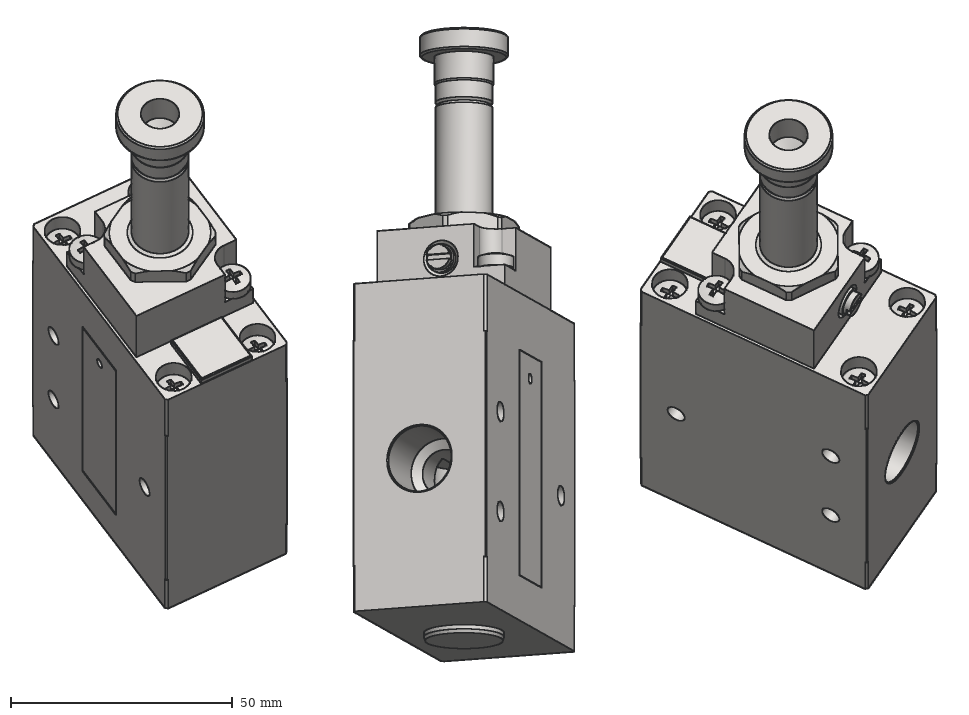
import cadquery as cq
import math

total_height = 139.1

housing_x = 59.0
housing_y = 32.0
housing_bottom = 2.1
housing_top = 77.5
panel_bottom = 12.5
panel_top = 64.4
panel_width = 14.7
panel_depth = 0.1
corner_chamfer = 0.5
middle_chamfer = 0.3
vent_diameter = 2.2
vent_depth = 2.8
vent_z = 59.1

mounting_diameter = 4.5
mounting_x = 20.0
mounting_mid_z = 36.2
mounting_pitch_z = 23.0

port_z = mounting_mid_z
port_diameter = 15.0
port_mouth_chamfer = 0.3
port_depth = 15.3
port_passage_diameter = 10.6
bore_diameter = 14.5
bore_top = 40.8

head_diameter = 8.0
head_height = 2.5
dome_height = 0.8
cross_length = 4.3
cross_width = 1.0
cross_depth = 0.8
housing_screw_x = 24.5
housing_screw_y = 11.0
housing_screw_depth = 4.2

pad_size = 13.4
pad_height = 1.5
pad_chamfer = 0.3
pad_outer_x = 29.4

block_size = 30.6
block_top = 92.4
pocket_floor = 82.5
pocket_radius = 4.0
block_screw_offset = 12.0

adjuster_z = 85.0
seat_diameter = 8.2
adjuster_collar_diameter = 6.5
adjuster_collar_height = 0.4
adjuster_head_diameter = 5.5
adjuster_head_height = 1.7
seat_depth = 0.8
slot_width = 1.3
slot_depth = 0.8

hex_flats = 22.3
hex_corner_diameter = 25.0
hex_top = 96.3
hex_top_diameter = 22.8
hex_chamfer_height = 0.8
tube_diameter = 13.0
tube_foot_diameter = 14.7
tube_foot_height = 0.4
groove_bottom = 122.5
groove_top = 123.8
groove_depth = 0.4
neck_bottom = 127.7
neck_chamfer = 0.4
neck_diameter = 13.4
knob_diameter = 19.9
knob_bottom = 134.2
knob_chamfer = 0.4
knob_hole_diameter = 8.6
knob_hole_depth = 7.0
pilot_hole_diameter = 2.4
pilot_hole_depth = 12.5

rod_diameter = 6.5
rod_foot_diameter = 7.0
rod_bottom = 33.1
land_top = 32.3
plug_diameter = 18.1
plug_top = 1.8
plug_chamfer_width = 0.3
plug_chamfer_height = 0.8

drill_half_angle = 59.0


def cone_height(outer_diameter, inner_diameter):
    """Height of a drill-point cone between two diameters."""
    return (outer_diameter - inner_diameter) / 2 / math.tan(math.radians(drill_half_angle))


def box_between(size_x, size_y, bottom, top):
    """Upright box centred on the Z axis."""
    return cq.Workplane("XY", origin=(0, 0, bottom)).rect(size_x, size_y).extrude(top - bottom)


def revolved(profile):
    """Solid of revolution about Z from (radius, z) points."""
    return cq.Workplane("XZ").polyline(profile).close().revolve(360, (0, 0), (0, 1))


def along_x(solid, x, z):
    """Turn a solid built along +Z to run along +X from (x, 0, z)."""
    return solid.rotate((0, 0, 0), (0, 1, 0), 90).translate((x, 0, z))


def screw_dome():
    """Domed top of a pan head, with its rim at z = 0."""
    radius = head_diameter / 2
    half = radius / 2
    sphere_radius = (radius**2 + dome_height**2) / (2 * dome_height)
    half_z = dome_height - sphere_radius + math.sqrt(sphere_radius**2 - half**2)
    return (
        cq.Workplane("XZ")
        .moveTo(0, 0)
        .lineTo(radius, 0)
        .threePointArc((half, half_z), (0, dome_height))
        .close()
        .revolve(360, (0, 0), (0, 1))
    )


def cross_recess():
    """Cutter for the cross in a screw head, with the dome rim at z = 0."""
    bar = box_between(cross_length, cross_width, -cross_depth, dome_height)
    return bar.union(bar.rotate((0, 0, 0), (0, 0, 1), 90))


def housing_blank():
    lower = box_between(housing_x, housing_y, housing_bottom, panel_bottom)
    middle = box_between(housing_x, housing_y, panel_bottom, panel_top)
    upper = box_between(housing_x, housing_y, panel_top, housing_top)
    return (
        middle.edges("|Z").chamfer(middle_chamfer)
        .union(lower.edges("|Z").chamfer(corner_chamfer))
        .union(upper.edges("|Z").chamfer(corner_chamfer))
    )


def cut_front_panel(body):
    panel = box_between(panel_width, 2 * panel_depth, panel_bottom, panel_top)
    vent = (
        cq.Workplane("XZ", origin=(0, -housing_y / 2, vent_z))
        .circle(vent_diameter / 2)
        .extrude(-vent_depth)
    )
    return body.cut(panel.translate((0, -housing_y / 2, 0))).cut(vent)


def cut_mounting_holes(body):
    places = [
        (-mounting_x, mounting_mid_z - mounting_pitch_z / 2),
        (-mounting_x, mounting_mid_z + mounting_pitch_z / 2),
        (mounting_x, mounting_mid_z),
    ]
    holes = (
        cq.Workplane("XZ", origin=(0, -housing_y / 2, 0))
        .pushPoints(places)
        .circle(mounting_diameter / 2)
        .extrude(-housing_y)
    )
    return body.cut(holes)


def cut_port_and_bore(body):
    radius = port_diameter / 2
    mouth = radius + port_mouth_chamfer
    passage = port_passage_diameter / 2
    cone_end = port_depth + cone_height(port_diameter, port_passage_diameter)
    port = revolved([
        (0, 0),
        (mouth, 0),
        (radius, port_mouth_chamfer),
        (radius, port_depth),
        (passage, cone_end),
        (passage, housing_x / 2),
        (0, housing_x / 2),
    ])
    bore = (
        cq.Workplane("XY", origin=(0, 0, housing_bottom))
        .circle(bore_diameter / 2)
        .extrude(bore_top - housing_bottom)
    )
    return body.cut(along_x(port, -housing_x / 2, port_z)).cut(bore)


def add_housing_screws(body):
    rim = housing_top - housing_screw_depth
    for side_x in (-1, 1):
        for side_y in (-1, 1):
            place = (side_x * housing_screw_x, side_y * housing_screw_y, rim)
            recess = cq.Workplane("XY").circle(head_diameter / 2).extrude(housing_screw_depth)
            body = body.cut(recess.translate(place))
            body = body.union(screw_dome().translate(place))
            body = body.cut(cross_recess().translate(place))
    return body


def add_pad(body):
    pad = box_between(pad_size, pad_size, housing_top, housing_top + pad_height)
    pad = pad.faces(">Z").edges().chamfer(pad_chamfer)
    return body.union(pad.translate((pad_outer_x - pad_size / 2, 0, 0)))


def make_housing():
    body = cut_front_panel(housing_blank())
    body = cut_mounting_holes(body)
    body = cut_port_and_bore(body)
    body = add_housing_screws(body)
    return add_pad(body)


def add_block_screw(body, side):
    """Corner pocket with its screw, in the (side, side) corner."""
    centre = side * block_screw_offset
    outer = block_size / 2
    inner = block_screw_offset - pocket_radius
    width = outer - inner
    middle = side * (inner + outer) / 2
    pocket = box_between(width, width, pocket_floor, block_top).translate((middle, middle, 0))
    inner_edge = "<X and <Y" if side > 0 else ">X and >Y"
    pocket = pocket.edges("|Z").edges(inner_edge).fillet(pocket_radius)
    head = cq.Workplane("XY").circle(head_diameter / 2).extrude(-head_height)
    screw = head.union(screw_dome()).cut(cross_recess())
    return body.cut(pocket).union(screw.translate((centre, centre, pocket_floor + head_height)))


def add_adjuster(body):
    face_x = -block_size / 2
    seat = revolved([
        (0, 0), (seat_diameter / 2, 0), (adjuster_collar_diameter / 2, seat_depth), (0, seat_depth),
    ])
    collar = cq.Workplane("XY").circle(adjuster_collar_diameter / 2)
    collar = collar.extrude(seat_depth + adjuster_collar_height)
    head = cq.Workplane("XY").circle(adjuster_head_diameter / 2).extrude(adjuster_head_height)
    head_x = face_x - adjuster_collar_height - adjuster_head_height
    slot = cq.Workplane("XY").box(2 * slot_depth, adjuster_head_diameter, slot_width)
    return (
        body.cut(along_x(seat, face_x, adjuster_z))
        .union(along_x(collar, face_x - adjuster_collar_height, adjuster_z))
        .union(along_x(head, head_x, adjuster_z))
        .cut(slot.translate((head_x, 0, adjuster_z)))
    )


def make_pilot_block():
    body = box_between(block_size, block_size, housing_top, block_top)
    for side in (-1, 1):
        body = add_block_screw(body, side)
    return add_adjuster(body)


def make_hexagon():
    prism = (
        cq.Workplane("XY", origin=(0, 0, block_top))
        .polygon(6, hex_flats / math.cos(math.pi / 6))
        .extrude(hex_top - block_top)
    )
    corner = hex_corner_diameter / 2
    rounding = revolved([
        (0, block_top),
        (corner, block_top),
        (corner, hex_top - hex_chamfer_height),
        (hex_top_diameter / 2, hex_top),
        (0, hex_top),
    ])
    return prism.intersect(rounding)


def make_tube_and_knob():
    tube = tube_diameter / 2
    neck = neck_diameter / 2
    knob = knob_diameter / 2
    hole = knob_hole_diameter / 2
    pilot = pilot_hole_diameter / 2
    cone_top = total_height - knob_hole_depth
    cone_bottom = cone_top - cone_height(knob_hole_diameter, pilot_hole_diameter)
    return revolved([
        (0, block_top),
        (tube_foot_diameter / 2, block_top),
        (tube_foot_diameter / 2, hex_top),
        (tube, hex_top + tube_foot_height),
        (tube, groove_bottom),
        (tube - groove_depth, (groove_bottom + groove_top) / 2),
        (tube, groove_top),
        (tube, neck_bottom),
        (neck, neck_bottom + neck_chamfer),
        (neck, knob_bottom),
        (knob - knob_chamfer, knob_bottom),
        (knob, knob_bottom + knob_chamfer),
        (knob, total_height - knob_chamfer),
        (knob - knob_chamfer, total_height),
        (hole, total_height),
        (hole, cone_top),
        (pilot, cone_bottom),
        (pilot, total_height - pilot_hole_depth),
        (0, total_height - pilot_hole_depth),
    ])


def make_spool():
    rod = rod_diameter / 2
    land = bore_diameter / 2
    plug = plug_diameter / 2
    return revolved([
        (0, 0),
        (plug - plug_chamfer_width, 0),
        (plug, plug_chamfer_height),
        (plug, plug_top),
        (land, plug_top),
        (land, land_top),
        (rod_foot_diameter / 2, land_top),
        (rod, rod_bottom),
        (rod, bore_top),
        (0, bore_top),
    ])


housing = make_housing()
pilot_block = make_pilot_block()
armature_tube = make_hexagon().union(make_tube_and_knob())
spool = make_spool()

result = cq.Compound.makeCompound([
    housing.val(),
    pilot_block.val(),
    armature_tube.val(),
    spool.val(),
])